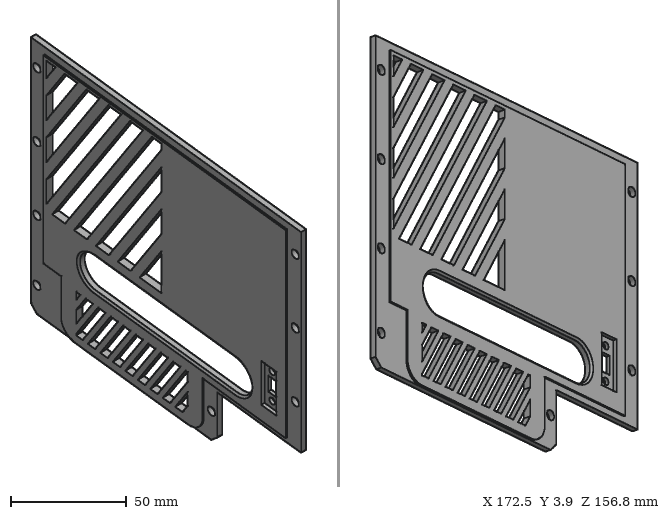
import cadquery as cq
import math


plate_width = 172.5
plate_height = 156.8
plate_thickness = 3.0
foot_width = 119.0
step_z = 29.9
corner_chamfer = 3.8

panel_thickness = 0.9
panel_side_margin = 9.0
panel_top_margin = 4.1
panel_top = plate_height - panel_top_margin
panel_bottom = 33.0
tab_left = 20.2
tab_right = 110.5
tab_bottom = 0.3
tab_radius = 9.1

screw_diameter = 4.7
screw_edge_offset = 3.8
upper_screw_count = 3
upper_screw_first_z = 56.8
upper_screw_pitch = 42.5
foot_screw_z = 16.5

bar_lean = 30.0
vent_panel_margin = 1.9
vent_left = panel_side_margin + vent_panel_margin
vent_right = 84.2
vent_bottom = 64.9
vent_top = panel_top - vent_panel_margin
vent_bar_count = 8
vent_bar_width = 5.0
vent_bar_pitch = 12.0
vent_bars_center_x = 43.5
grille_left = 29.9
grille_right = 101.0
grille_bottom = 5.2
grille_top = 30.2
grille_bar_count = 11
grille_bar_width = 3.0
grille_bar_pitch = 6.9
grille_bars_center_x = 66.8

handle_length = 110.1
handle_height = 20.0
handle_center_x = plate_width / 2
handle_center_z = 48.0
handle_chamfer = 1.0
handle_chamfer_angle = 45.0

recess_width = 9.7
recess_height = 25.2
recess_depth = 1.9
recess_center_x = 152.9
recess_center_z = 54.7
port_width = 5.0
port_height = 9.1
port_screw_diameter = 3.5
port_screw_spacing = 16.9

front_y = -panel_thickness
total_thickness = plate_thickness + panel_thickness


def sketch_plane(y):
    """XZ sketch plane at depth y; positive extrusion runs toward -Y."""
    return cq.Workplane(cq.Plane(origin=(0, y, 0), xDir=(1, 0, 0), normal=(0, -1, 0)))


def box(left, right, bottom, top, y, depth):
    center = ((left + right) / 2, (bottom + top) / 2)
    return sketch_plane(y).center(*center).rect(right - left, top - bottom).extrude(-depth)


def holes(points, diameter):
    return sketch_plane(front_y).pushPoints(points).circle(diameter / 2).extrude(-total_thickness)


def plate():
    outline = [
        (corner_chamfer, 0),
        (foot_width - corner_chamfer, 0),
        (foot_width, corner_chamfer),
        (foot_width, step_z),
        (plate_width, step_z),
        (plate_width, plate_height),
        (0, plate_height),
        (0, corner_chamfer),
    ]
    return sketch_plane(0).polyline(outline).close().extrude(-plate_thickness)


def panel():
    panel_right = plate_width - panel_side_margin
    field = box(panel_side_margin, panel_right, panel_bottom, panel_top, front_y, panel_thickness)
    tab_top = panel_bottom + tab_radius
    tab = box(tab_left, tab_right, tab_bottom, tab_top, front_y, panel_thickness)
    tab = tab.faces("<Z").edges("|Y").fillet(tab_radius)
    return field.union(tab)


def grille_opening(left, right, bottom, top, bar_count, bar_width, bar_pitch, bars_center_x):
    """Cutter for a rectangular opening that leaves slanted bars standing."""
    lean = math.radians(bar_lean)
    middle_z = (bottom + top) / 2
    bar_length = 2 * (top - bottom)
    opening = box(left, right, bottom, top, front_y, total_thickness)
    for index in range(bar_count):
        x = bars_center_x + (index - (bar_count - 1) / 2) * bar_pitch / math.cos(lean)
        bar = (
            sketch_plane(front_y)
            .center(x, middle_z)
            .transformed(rotate=(0, 0, -bar_lean))
            .rect(bar_width, bar_length)
            .extrude(-total_thickness)
        )
        opening = opening.cut(bar)
    return opening


def handle_opening():
    through = (
        sketch_plane(front_y)
        .center(handle_center_x, handle_center_z)
        .slot2D(handle_length, handle_height)
        .extrude(-total_thickness)
    )
    rim = (
        sketch_plane(front_y)
        .center(handle_center_x, handle_center_z)
        .slot2D(handle_length + 2 * handle_chamfer, handle_height + 2 * handle_chamfer)
        .extrude(-handle_chamfer, taper=handle_chamfer_angle)
    )
    return through.union(rim)


def connector_cutout():
    def centered_box(width, height, depth):
        return box(
            recess_center_x - width / 2,
            recess_center_x + width / 2,
            recess_center_z - height / 2,
            recess_center_z + height / 2,
            front_y,
            depth,
        )

    recess = centered_box(recess_width, recess_height, recess_depth)
    port = centered_box(port_width, port_height, total_thickness)
    screw_points = [
        (recess_center_x, recess_center_z + side * port_screw_spacing / 2)
        for side in (-1, 1)
    ]
    return recess.union(port).union(holes(screw_points, port_screw_diameter))


def screw_holes():
    points = [(screw_edge_offset, foot_screw_z), (foot_width - screw_edge_offset, foot_screw_z)]
    for index in range(upper_screw_count):
        z = upper_screw_first_z + index * upper_screw_pitch
        points.append((screw_edge_offset, z))
        points.append((plate_width - screw_edge_offset, z))
    return holes(points, screw_diameter)


vent = grille_opening(
    vent_left, vent_right, vent_bottom, vent_top,
    vent_bar_count, vent_bar_width, vent_bar_pitch, vent_bars_center_x,
)
lower_grille = grille_opening(
    grille_left, grille_right, grille_bottom, grille_top,
    grille_bar_count, grille_bar_width, grille_bar_pitch, grille_bars_center_x,
)

result = plate().union(panel())
for cutter in (vent, lower_grille, handle_opening(), connector_cutout(), screw_holes()):
    result = result.cut(cutter)